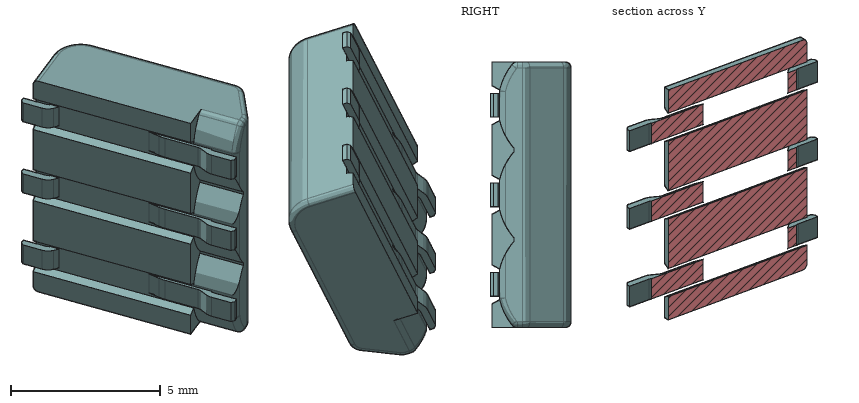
import cadquery as cq
import math

body_length = 7.4
body_width = 8.9
body_back = 2.7
body_bottom = 0.05
back_radius = 1.0
slope_radius = 0.5
slope_angle = 60.0
slope_start = 6.535
edge_radius = 0.2

station_count = 3
station_pitch = 3.0

groove_floor = 0.3
groove_floor_width = 1.03
groove_mouth_width = 1.3

lobe_start = 5.8
lobe_radius = 2.2
shoulder_radius = 0.25
crown_radius = 0.15
lobe_flat_width = 0.95
lobe_gap = 0.1

contact_width = 0.8
contact_thickness = 0.25
contact_anchor = 0.6
toe_chamfer = 0.1
bend_radius = 0.5

tab_overhang = 0.45
tab_flat_end = 0.35
tab_bend_angle = 46.0
tab_end = 0.85

tail_start = 4.15
tail_bow_start = 4.55
tail_bow_end = 4.78
tail_level = 0.2
tail_drop_start = 6.0
tail_foot_start = 6.59
tail_drop_angle = 25.0

half_width = body_width / 2
overlap = 0.1
stations = [(i - (station_count - 1) / 2) * station_pitch for i in range(station_count)]


def make_body():
    """Side outline extruded over the full width, still without the end lobes."""
    slope = math.radians(slope_angle)
    slope_foot = body_back - (body_length - slope_start) * math.tan(slope)
    outline = (
        cq.Workplane("XY")
        .workplane(offset=-half_width)
        .moveTo(0, body_bottom)
        .lineTo(0, body_back)
        .lineTo(slope_start, body_back)
        .lineTo(body_length, slope_foot)
        .lineTo(body_length, groove_floor)
        .lineTo(lobe_start, groove_floor)
        .lineTo(lobe_start, body_bottom)
        .close()
        .extrude(body_width)
    )
    rounded = outline.edges("|Z and <X and >Y").fillet(back_radius)
    corners = cq.selectors.BoxSelector(
        (slope_start - overlap, slope_foot - overlap, -half_width),
        (body_length + overlap, body_back + overlap, half_width),
    )
    return rounded.edges("|Z").edges(corners).fillet(slope_radius)


def lobe_height(offset):
    """Y of the lobe surface at a Z offset from the station centre."""
    crown = math.sqrt(lobe_radius**2 - (lobe_flat_width / 2) ** 2)
    return groove_floor + crown - math.sqrt(lobe_radius**2 - offset**2)


lobe_edge = lobe_height((station_pitch - lobe_gap) / 2)


def lobe_valley(station, side):
    """Material removed on one side of a station, leaving the lobe's round flank."""
    near = lobe_flat_width / 2
    far = (station_pitch - lobe_gap) / 2
    middle = (near + far) / 2
    end = station_pitch / 2
    return (
        cq.Workplane("YZ")
        .workplane(offset=lobe_start)
        .moveTo(lobe_height(near), station + side * near)
        .threePointArc(
            (lobe_height(middle), station + side * middle),
            (lobe_height(far), station + side * far),
        )
        .lineTo(lobe_height(far), station + side * end)
        .lineTo(0, station + side * end)
        .lineTo(0, station + side * near)
        .close()
        .extrude(body_length)
    )


def groove(station):
    """Trapezoidal channel along X under one row of contacts."""
    return (
        cq.Workplane("YZ")
        .moveTo(groove_floor, station - groove_floor_width / 2)
        .lineTo(groove_floor, station + groove_floor_width / 2)
        .lineTo(body_bottom, station + groove_mouth_width / 2)
        .lineTo(body_bottom, station - groove_mouth_width / 2)
        .close()
        .extrude(body_length)
    )


def is_outline_edge(edge):
    """True for the side edges on the back, the ends and the slope."""
    centre = edge.Center()
    on_mounting_face = centre.y < body_bottom + overlap
    above_lobes = centre.y > lobe_edge + overlap / 2
    behind_lobes = centre.x < lobe_start - overlap
    beyond_step = centre.x > lobe_start + overlap
    return not on_mounting_face and above_lobes and (behind_lobes or beyond_step)


def is_shoulder_edge(edge):
    """True for the side edges between a side face and an outer lobe."""
    centre = edge.Center()
    return abs(centre.y - lobe_edge) < overlap / 2 and centre.x > lobe_start + overlap


def is_crown_edge(edge):
    """True for the edges between an outer lobe's flat crown and its round flank."""
    centre = edge.Center()
    crown_side = stations[-1] + lobe_flat_width / 2
    at_crown_side = abs(abs(centre.z) - crown_side) < lobe_gap / 2
    return at_crown_side and abs(centre.y - groove_floor) < overlap / 2 and centre.x > lobe_start


def round_outer_edges(body):
    """Round the outer lobes' shoulders and crowns, both side outlines and the rim of the lobe end."""
    side_edges = body.faces("<Z or >Z").edges().vals()
    shoulders = [edge for edge in side_edges if is_shoulder_edge(edge)]
    body = body.newObject(shoulders).fillet(shoulder_radius)

    crown_edges = [edge for edge in body.edges("|X").vals() if is_crown_edge(edge)]
    body = body.newObject(crown_edges).fillet(crown_radius)

    outlines = [edge for edge in body.faces("<Z or >Z").edges().vals() if is_outline_edge(edge)]
    end_edges = body.faces(">X").edges().vals()
    lobe_rim = [edge for edge in end_edges if edge.Center().y < lobe_edge + shoulder_radius / 2]
    return body.newObject(outlines + lobe_rim).fillet(edge_radius)


def bend_point(centre_x, centre_y, radius, angle):
    """Point on a bend, with the angle measured from straight down towards +X."""
    return (centre_x + radius * math.sin(angle), centre_y - radius * math.cos(angle))


def extrude_contact(profile, station):
    """Close a contact profile and give it the contact width."""
    strip = profile.close().extrude(contact_width / 2, both=True)
    return strip.translate((0, 0, station))


def tab(station):
    """Short tab that curves up from the board into the groove floor."""
    inner_radius = bend_radius - contact_thickness
    centre = (tab_flat_end, bend_radius)
    bend = math.radians(tab_bend_angle)
    bend_end = bend_point(*centre, bend_radius, bend)
    inner_end = bend_point(*centre, inner_radius, bend)
    profile = (
        cq.Workplane("XY")
        .moveTo(-tab_overhang, contact_thickness)
        .lineTo(-tab_overhang, toe_chamfer)
        .lineTo(toe_chamfer - tab_overhang, 0)
        .lineTo(tab_flat_end, 0)
        .threePointArc(bend_point(*centre, bend_radius, bend / 2), bend_end)
        .lineTo(tab_end, groove_floor)
        .lineTo(tab_end, contact_anchor)
        .lineTo(inner_end[0], contact_anchor)
        .lineTo(*inner_end)
        .threePointArc(
            bend_point(*centre, inner_radius, bend / 2),
            (tab_flat_end, contact_thickness),
        )
    )
    return extrude_contact(profile, station)


def tail(station):
    """Long tail that leaves the groove floor, runs along it and drops to the board."""
    inner_radius = bend_radius - contact_thickness
    drop = math.radians(tail_drop_angle)
    foot_centre = (tail_foot_start, bend_radius)
    knee_centre = (tail_drop_start, tail_level - inner_radius)
    knee_middle = bend_point(*knee_centre, inner_radius, math.pi - drop / 2)
    knee_end = bend_point(*knee_centre, inner_radius, math.pi - drop)
    foot_bend = bend_point(*foot_centre, bend_radius, -drop)
    inner_bend = bend_point(*foot_centre, inner_radius, -drop)
    bow_length = tail_bow_end - tail_bow_start
    bow_angle = math.atan((groove_floor - tail_level) / (tail_bow_start - tail_start + bow_length / 2))
    bow_radius = bow_length / math.sin(bow_angle)
    bow_centre = (tail_bow_end, tail_level + bow_radius)
    bow_entry = bend_point(*bow_centre, bow_radius, -bow_angle)
    bow_middle = bend_point(*bow_centre, bow_radius, -bow_angle / 2)
    profile = (
        cq.Workplane("XY")
        .moveTo(tail_start, groove_floor)
        .lineTo(*bow_entry)
        .threePointArc(bow_middle, (tail_bow_end, tail_level))
        .lineTo(tail_drop_start, tail_level)
        .threePointArc(knee_middle, knee_end)
        .lineTo(*foot_bend)
        .threePointArc(bend_point(*foot_centre, bend_radius, -drop / 2), (tail_foot_start, 0))
        .lineTo(body_length - toe_chamfer, 0)
        .lineTo(body_length, toe_chamfer)
        .lineTo(body_length, contact_thickness)
        .lineTo(tail_foot_start, contact_thickness)
        .threePointArc(bend_point(*foot_centre, inner_radius, -drop / 2), inner_bend)
        .lineTo(tail_drop_start, contact_anchor)
        .lineTo(tail_start, contact_anchor)
    )
    return extrude_contact(profile, station)


body = make_body()
for side in (-1, 1):
    body = body.cut(lobe_valley(side * stations[-1], side))
body = round_outer_edges(body)
for station in stations:
    body = body.cut(groove(station))
    for side in (-1, 1):
        if station != side * stations[-1]:
            body = body.cut(lobe_valley(station, side))

result = body
for station in stations:
    result = result.union(tab(station)).union(tail(station))